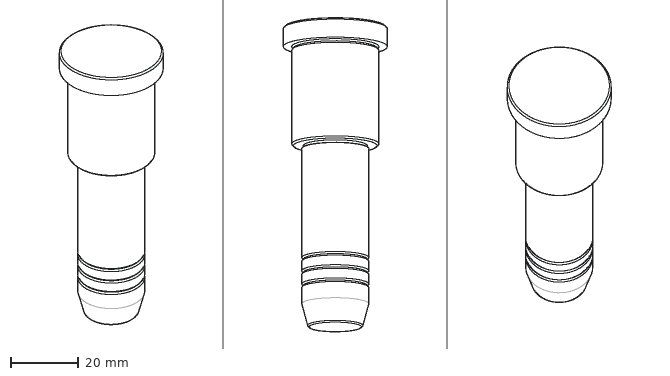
import cadquery as cq

total_height = 91.0
head_height = 6.0
body_bottom = 55.0
taper_height = 7.0

head_radius = 15.52
body_radius = 13.0
shaft_radius = 10.0
taper_end_radius = 8.3

edge_chamfer = 0.55
tip_chamfer = 0.5
relief_depth = 0.5
relief_height = 0.8

groove_width = 1.1
groove_depth = 0.5
groove_pitch = 4.0
lowest_groove_z = 12.5
groove_count = 3

head_bottom = total_height - head_height


def cylinder(radius, bottom, top):
    return cq.Workplane("XY").workplane(offset=bottom).circle(radius).extrude(top - bottom)


def revolved(points):
    """Revolve a closed (radius, z) outline about the Z axis."""
    return cq.Workplane("XZ").polyline(points).close().revolve(360, (0, 0), (0, 1))


def v_groove(radius, center_z):
    half_width = groove_width / 2
    return revolved([
        (radius, center_z + half_width),
        (radius - groove_depth, center_z),
        (radius, center_z - half_width),
    ])


head = cylinder(head_radius, head_bottom, total_height).faces(">Z").edges().chamfer(edge_chamfer)
body = cylinder(body_radius, body_bottom, head_bottom).faces("<Z").edges().chamfer(edge_chamfer)
shaft = cylinder(shaft_radius, taper_height, body_bottom)

tip = revolved([
    (0, 0),
    (taper_end_radius - tip_chamfer, 0),
    (taper_end_radius, tip_chamfer),
    (shaft_radius, taper_height),
    (0, taper_height),
])

result = head.union(body).union(shaft).union(tip)

relief_bottom = body_bottom - relief_height
neck_radius = shaft_radius - relief_depth
relief = cylinder(shaft_radius, relief_bottom, body_bottom).cut(
    cylinder(neck_radius, relief_bottom, body_bottom)
)
result = result.cut(relief)

result = result.cut(v_groove(body_radius, head_bottom - groove_width / 2))

for index in range(groove_count):
    result = result.cut(v_groove(shaft_radius, lowest_groove_z + index * groove_pitch))